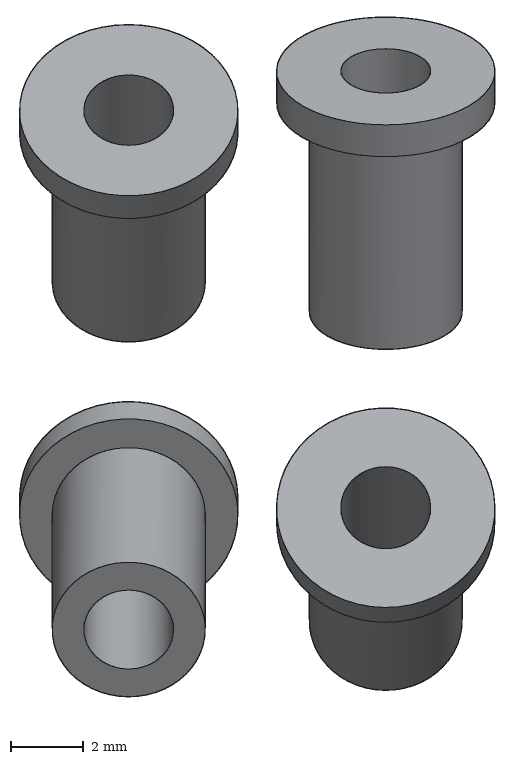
import cadquery as cq

total_height = 7.6
flange_thickness = 1.0
flange_diameter = 6.0
sleeve_diameter = 4.2
bore_diameter = 2.46

sleeve_height = total_height - flange_thickness

sleeve = cq.Workplane("XY").circle(sleeve_diameter / 2).extrude(sleeve_height)

flanged_sleeve = (
    sleeve.faces(">Z")
    .workplane()
    .circle(flange_diameter / 2)
    .extrude(flange_thickness)
)

result = flanged_sleeve.faces(">Z").workplane().hole(bore_diameter)